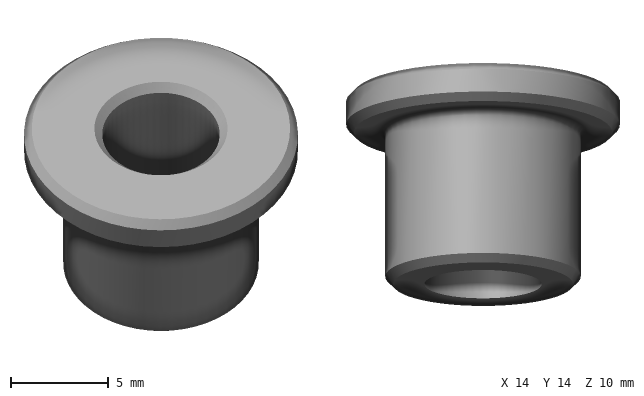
import cadquery as cq

flange_diameter = 14.0
flange_thickness = 2.0
sleeve_diameter = 10.0
bore_diameter = 6.0
total_height = 10.0
edge_chamfer = 0.4
neck_fillet = 0.3

sleeve_length = total_height - flange_thickness


def make_sleeve():
    """Cylindrical sleeve with a chamfered lower outer edge."""
    sleeve = cq.Workplane("XY").circle(sleeve_diameter / 2).extrude(sleeve_length)
    return sleeve.faces("<Z").edges().chamfer(edge_chamfer)


def make_flange():
    """Disc on top of the sleeve, chamfered on both rims."""
    flange = (
        cq.Workplane("XY")
        .workplane(offset=sleeve_length)
        .circle(flange_diameter / 2)
        .extrude(flange_thickness)
    )
    return flange.edges("%CIRCLE").chamfer(edge_chamfer)


def fillet_neck(body):
    """Round the inner corner where the sleeve meets the flange underside."""
    underside_center = (0, 0, sleeve_length)
    underside = body.faces(cq.selectors.NearestToPointSelector(underside_center))
    inner_edge = cq.selectors.RadiusNthSelector(0)
    return underside.edges(inner_edge).fillet(neck_fillet)


def cut_bore(body):
    """Through bore with a chamfered mouth in the flange's top face."""
    bored = body.faces(">Z").workplane().hole(bore_diameter)
    mouth = cq.selectors.RadiusNthSelector(0)
    return bored.faces(">Z").edges(mouth).chamfer(edge_chamfer)


result = cut_bore(fillet_neck(make_sleeve().union(make_flange())))